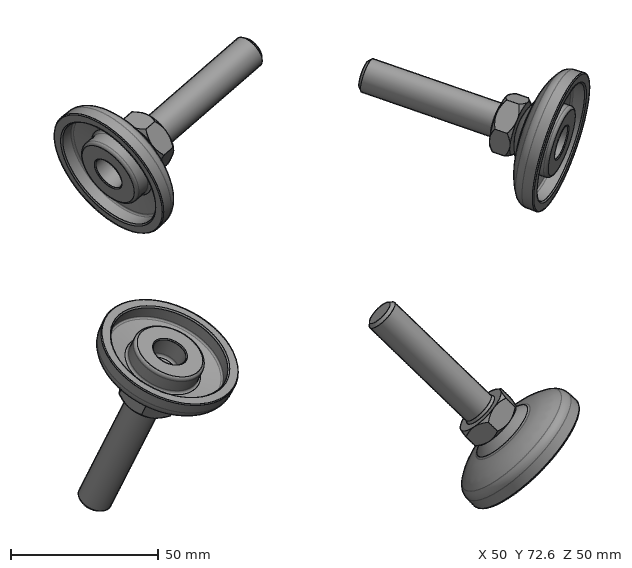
import cadquery as cq
import math


total_height = 72.6
rim_radius = 25.0

rim_chamfer = 0.3
rim_edge_height = 0.4
wall_top_radius = 24.8
wall_top_height = 4.3
shoulder_radius = 23.2
shoulder_height = 7.3
shoulder_mid = (24.4, 5.9)
dome_mid = (18.0, 10.2)
dome_top_radius = 12.55
dome_top_height = 11.55
cap_foot_radius = 11.8
cap_foot_height = 12.0
cap_blend_mid = (12.1, 11.7)
cap_top_height = 15.2
cap_sphere_radius = 19.6

lip_radius = 21.7
lip_chamfer = 0.5
cavity_radius = lip_radius - lip_chamfer
cavity_wall_height = 4.65
cavity_fillet = 0.65
boss_radius = 12.85
boss_rounding_width = 0.95
boss_rounding_height = 1.3
boss_rounding_mid = (12.55, 0.4)
boss_wall_height = 5.8
boss_base_radius = 13.7
boss_base_height = 6.8
boss_base_mid = (13.15, 6.5)

bore_radius = 5.95
bore_chamfer = 0.35
bore_wall_height = 6.8
bore_fillet = 1.0
bore_floor_height = bore_wall_height + bore_fillet
tail_radius = 2.8
seat_height = 8.7

rod_radius = 6.0
rod_chamfer = 1.15
collar_height = 7.5
collar_top = cap_top_height + collar_height
collar_across_flats = 19.0
collar_corner_radius = collar_across_flats / math.sqrt(3)
collar_rotation = 18.3
neck_radius = 6.45
neck_height = 1.1
tail_recess_radius = 2.2
tail_recess_depth = 1.6


def revolve_about_y(profile):
    """Turn a closed half section in the XY plane into a solid of revolution."""
    return profile.close().revolve(360, (0, 0, 0), (0, 1, 0))


def round_mid(centre_radius, centre_height, radius, angle):
    """Point on a rounding, at an angle in degrees from the radial direction."""
    turn = math.radians(angle)
    return (centre_radius + radius * math.cos(turn), centre_height + radius * math.sin(turn))


def sphere_point(centre_height, radius):
    """Point of the spherical cap at the given distance from the axis."""
    return (radius, centre_height + math.sqrt(cap_sphere_radius**2 - radius**2))


def make_pad():
    cap_centre = cap_foot_height - math.sqrt(cap_sphere_radius**2 - cap_foot_radius**2)
    cap_top_radius = math.sqrt(cap_sphere_radius**2 - (cap_top_height - cap_centre) ** 2)
    cap_mid = sphere_point(cap_centre, (cap_foot_radius + cap_top_radius) / 2)

    outer = (
        cq.Workplane("XY")
        .moveTo(lip_radius, 0)
        .lineTo(rim_radius - rim_chamfer, 0)
        .lineTo(rim_radius, rim_edge_height)
        .lineTo(wall_top_radius, wall_top_height)
        .threePointArc(shoulder_mid, (shoulder_radius, shoulder_height))
        .threePointArc(dome_mid, (dome_top_radius, dome_top_height))
        .threePointArc(cap_blend_mid, (cap_foot_radius, cap_foot_height))
        .threePointArc(cap_mid, (cap_top_radius, cap_top_height))
        .lineTo(tail_radius, cap_top_height)
    )
    bore = (
        outer.lineTo(tail_radius, seat_height)
        .lineTo(bore_radius - bore_fillet, bore_floor_height)
        .threePointArc(
            round_mid(bore_radius - bore_fillet, bore_wall_height, bore_fillet, 45),
            (bore_radius, bore_wall_height),
        )
        .lineTo(bore_radius, bore_chamfer)
        .lineTo(bore_radius + bore_chamfer, 0)
    )
    boss = (
        bore.lineTo(boss_radius - boss_rounding_width, 0)
        .threePointArc(boss_rounding_mid, (boss_radius, boss_rounding_height))
        .lineTo(boss_radius, boss_wall_height)
        .threePointArc(boss_base_mid, (boss_base_radius, boss_base_height))
    )
    cavity = (
        boss.lineTo(cavity_radius - cavity_fillet, cavity_wall_height + cavity_fillet)
        .threePointArc(
            round_mid(cavity_radius - cavity_fillet, cavity_wall_height, cavity_fillet, 45),
            (cavity_radius, cavity_wall_height),
        )
        .lineTo(cavity_radius, lip_chamfer)
    )
    return revolve_about_y(cavity)


def make_collar():
    """Hexagonal collar whose corners are chamfered at 45 degrees at both ends."""
    corners = []
    for index in range(6):
        angle = math.radians(collar_rotation + 60 * index)
        corners.append((collar_corner_radius * math.cos(angle), collar_corner_radius * math.sin(angle)))
    hexagon = (
        cq.Workplane("XZ", origin=(0, cap_top_height, 0)).polyline(corners).close().extrude(-collar_height)
    )
    face_radius = collar_across_flats / 2
    chamfer = collar_corner_radius - face_radius
    envelope = revolve_about_y(
        cq.Workplane("XY")
        .moveTo(0, cap_top_height)
        .lineTo(face_radius, cap_top_height)
        .lineTo(collar_corner_radius, cap_top_height + chamfer)
        .lineTo(collar_corner_radius, collar_top - chamfer)
        .lineTo(face_radius, collar_top)
        .lineTo(0, collar_top)
    )
    return hexagon.intersect(envelope)


def make_stud():
    shaft = revolve_about_y(
        cq.Workplane("XY")
        .moveTo(0, seat_height + tail_recess_depth)
        .lineTo(tail_recess_radius, seat_height)
        .lineTo(tail_radius, seat_height)
        .lineTo(tail_radius, collar_top)
        .lineTo(neck_radius, collar_top)
        .lineTo(rod_radius, collar_top + neck_height)
        .lineTo(rod_radius, total_height - rod_chamfer)
        .lineTo(rod_radius - rod_chamfer, total_height)
        .lineTo(0, total_height)
    )
    return shaft.union(make_collar())


pad = make_pad()
stud = make_stud()
result = cq.Compound.makeCompound([pad.val(), stud.val()])